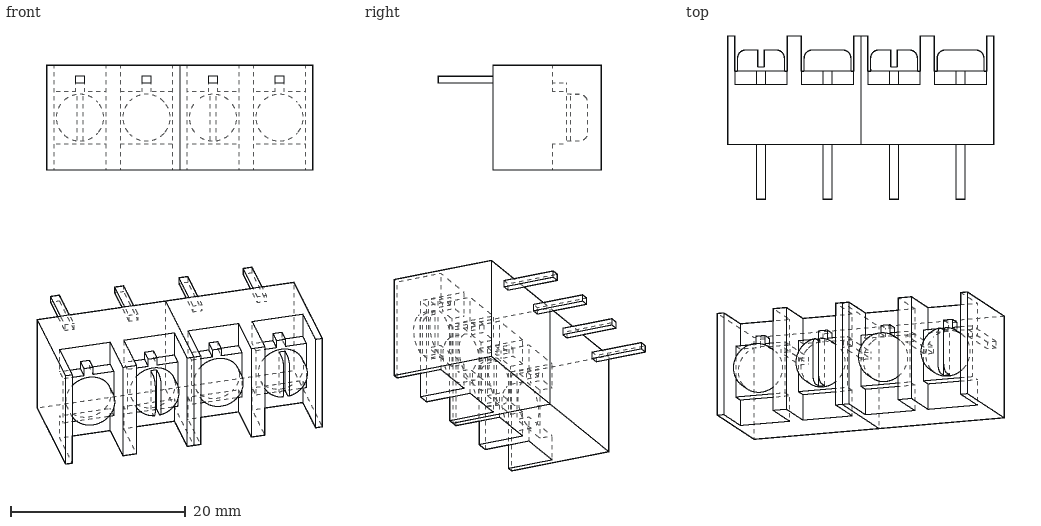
import cadquery as cq

total_width = 30.48
module_count = 2
terminals_per_module = 2
module_width = total_width / module_count
terminal_pitch = module_width / terminals_per_module

housing_depth = 12.45
housing_height = 12.0
bay_width = 6.0
bay_floor_y = 6.85

plate_thickness = 1.55
plate_height = bay_width
plate_face_y = bay_floor_y + plate_thickness

pin_width = 1.07
pin_thickness = 0.8
pin_length = 6.28
pin_top_gap = 1.25
pin_bottom_z = housing_height - pin_top_gap - pin_thickness

screw_z = housing_height / 2
head_diameter = 5.4
head_height = 2.45
head_rounding = 0.98
slot_width = 0.7
slot_depth = 1.95

slotted_terminals = (0,)


def block(width, depth, height, x_center, y_front, z_bottom):
    """Box centred on x_center that extends from y_front toward +Y and z_bottom toward +Z."""
    box = cq.Workplane("XY").box(width, depth, height, centered=(True, False, False))
    return box.translate((x_center, y_front, z_bottom))


def make_housing():
    """Housing with its left side at X = 0 and one full-height bay per terminal."""
    housing = block(module_width, housing_depth, housing_height, module_width / 2, 0, 0)
    bay_depth = housing_depth - bay_floor_y
    for x in terminal_centers():
        bay = block(bay_width, bay_depth, housing_height, x, bay_floor_y, 0)
        housing = housing.cut(bay)
    return housing


def terminal_centers():
    return [(index + 0.5) * terminal_pitch for index in range(terminals_per_module)]


def make_plate(x):
    """Square plate behind the screw, with a tab that rises to the underside of the pin."""
    plate_bottom_z = screw_z - plate_height / 2
    plate = block(bay_width, plate_thickness, plate_height, x, bay_floor_y, plate_bottom_z)
    tab_height = pin_bottom_z - plate_bottom_z
    tab = block(pin_width, plate_thickness, tab_height, x, bay_floor_y, plate_bottom_z)
    return plate.union(tab)


def make_pin(x):
    return block(pin_width, pin_length, pin_thickness, x, -pin_length, pin_bottom_z)


def make_screw_head(x, is_slotted):
    """Round head with its axis along Y and a rounded outer rim."""
    seat = cq.Workplane("XZ", origin=(x, plate_face_y, screw_z))
    head = seat.circle(head_diameter / 2).extrude(-head_height)
    head = head.faces(">Y").edges().fillet(head_rounding)
    if is_slotted:
        slot_floor_y = plate_face_y + head_height - slot_depth
        slot_end_z = screw_z - head_diameter / 2
        slot = block(slot_width, slot_depth, head_diameter, x, slot_floor_y, slot_end_z)
        head = head.cut(slot)
    return head


def make_module(left_x):
    """One module: housing, plates, pins and screw heads as a single solid."""
    module = make_housing()
    for index, x in enumerate(terminal_centers()):
        module = module.union(make_plate(x))
        module = module.union(make_pin(x))
        module = module.union(make_screw_head(x, index in slotted_terminals))
    return module.translate((left_x, 0, 0)).solids()


modules = [make_module(index * module_width - total_width / 2) for index in range(module_count)]

result = cq.Compound.makeCompound([module.val() for module in modules])